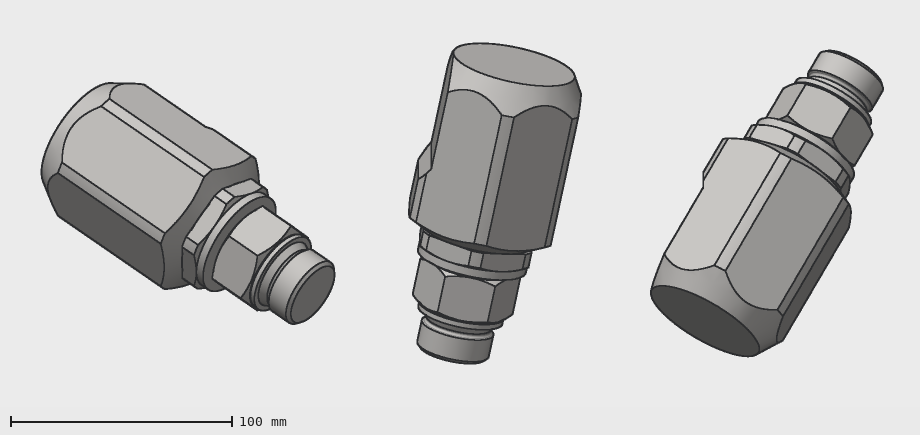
import cadquery as cq
import math

total_length = 138.5
TAN_30 = math.tan(math.radians(30))
TAN_60 = math.tan(math.radians(60))

body_flats = 65.0
body_corner_radius = 36.0
body_end = 81.9
body_nose_radius = 28.0
body_shoulder_radius = 25.3

relief_height = 28.0
relief_length = 49.4

collar_flats = 50.0
collar_corner_radius = 27.4
collar_hex_end = 90.5
collar_end = 94.5

neck_radius = 15.0
nut_start = 96.5

nut_flats = 40.0
nut_end = 117.6
nut_front_radius = 20.0
nut_back_radius = 19.3

spigot_flange_radius = 19.5
spigot_flange_end = 120.5
washer_step = 0.4
seat_radius = 16.8
groove_radius = 15.0
groove_start = 124.2
groove_end = 124.7
runout_fillet_radius = 1.5
thread_radius = 16.6
thread_chamfer = 1.6


def revolve_outline(outline):
    """Revolve a closed XZ outline one full turn around the X axis."""
    return outline.revolve(360, (0, 0, 0), (1, 0, 0))


def revolve_profile(points):
    """Revolve a list of (x, radius) points, closed along the X axis, into a solid of revolution."""
    first_x = points[0][0]
    last_x = points[-1][0]
    outline = [(first_x, 0)] + points + [(last_x, 0)]
    return revolve_outline(cq.Workplane("XZ").polyline(outline).close())


def hex_bar(across_flats, start, end, flat_direction):
    """Hexagonal bar along X with one pair of flats facing +/-flat_direction ("Y" or "Z")."""
    corner_diameter = across_flats / math.cos(math.radians(30))
    bar = cq.Workplane("YZ", origin=(start, 0, 0)).polygon(6, corner_diameter).extrude(end - start)
    if flat_direction == "Y":
        bar = bar.rotate((0, 0, 0), (1, 0, 0), 30)
    return bar


def make_body():
    """Hexagonal body with its corners turned to a cylinder, a 30 degree nose and a 60 degree shoulder."""
    nose_length = (body_corner_radius - body_nose_radius) / TAN_30
    shoulder_length = (body_corner_radius - body_shoulder_radius) / TAN_60
    envelope = revolve_profile([
        (0, body_nose_radius),
        (nose_length, body_corner_radius),
        (body_end - shoulder_length, body_corner_radius),
        (body_end, body_shoulder_radius),
    ])
    body = hex_bar(body_flats, 0, body_end, "Y").intersect(envelope)
    return body.cut(make_relief())


def make_relief():
    """Block that lowers the +Y flat from the nose up to the ramp."""
    ramp_top = body_corner_radius
    ramp_length = (ramp_top - relief_height) / TAN_30
    return (
        cq.Workplane("XY")
        .moveTo(0, relief_height)
        .lineTo(relief_length, relief_height)
        .lineTo(relief_length + ramp_length, ramp_top)
        .lineTo(0, ramp_top)
        .close()
        .extrude(body_corner_radius, both=True)
    )


def make_collar():
    """Hexagonal collar chamfered at 60 degrees down to its round flange."""
    flange_radius = collar_flats / 2
    chamfer_length = (collar_corner_radius - flange_radius) / TAN_60
    envelope = revolve_profile([
        (body_end, collar_corner_radius),
        (collar_hex_end - chamfer_length, collar_corner_radius),
        (collar_hex_end, flange_radius),
        (collar_end, flange_radius),
    ])
    return hex_bar(collar_flats, body_end, collar_end, "Y").intersect(envelope)


def make_nut():
    """Hexagonal nut with 60 degree corner chamfers on both faces."""
    corner_radius = nut_flats / 2 / math.cos(math.radians(30))
    front_chamfer_length = (corner_radius - nut_front_radius) / TAN_60
    back_chamfer_length = (corner_radius - nut_back_radius) / TAN_60
    envelope = revolve_profile([
        (nut_start, nut_front_radius),
        (nut_start + front_chamfer_length, corner_radius),
        (nut_end - back_chamfer_length, corner_radius),
        (nut_end, nut_back_radius),
    ])
    return hex_bar(nut_flats, nut_start, nut_end, "Z").intersect(envelope)


def make_neck():
    """Plain cylinder joining the collar flange to the nut."""
    return revolve_profile([(collar_end, neck_radius), (nut_start, neck_radius)])


def make_spigot():
    """Washer step, flange, conical seat, relief groove and chamfered thread cylinder.

    The groove runs out to the thread through a concave fillet and a 60 degree flank.
    """
    washer_end = nut_end + washer_step
    runout_angle = math.radians(60)
    fillet_center_radius = groove_radius + runout_fillet_radius

    def fillet_point(angle):
        x = groove_end + runout_fillet_radius * math.sin(angle)
        return (x, fillet_center_radius - runout_fillet_radius * math.cos(angle))

    fillet_end = fillet_point(runout_angle)
    thread_start = fillet_end[0] + (thread_radius - fillet_end[1]) / TAN_60
    outline = (
        cq.Workplane("XZ")
        .moveTo(nut_end, 0)
        .lineTo(nut_end, nut_back_radius)
        .lineTo(washer_end, nut_back_radius)
        .lineTo(washer_end, spigot_flange_radius)
        .lineTo(spigot_flange_end, spigot_flange_radius)
        .lineTo(spigot_flange_end, seat_radius)
        .lineTo(groove_start, groove_radius)
        .lineTo(groove_end, groove_radius)
        .threePointArc(fillet_point(runout_angle / 2), fillet_end)
        .lineTo(thread_start, thread_radius)
        .lineTo(total_length - thread_chamfer, thread_radius)
        .lineTo(total_length, thread_radius - thread_chamfer)
        .lineTo(total_length, 0)
        .close()
    )
    return revolve_outline(outline)


result = make_body()
for section in (make_collar(), make_neck(), make_nut(), make_spigot()):
    result = result.union(section)